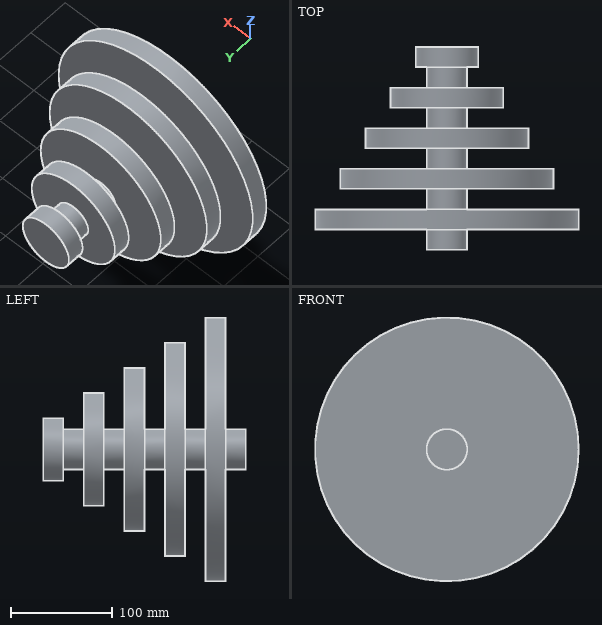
import cadquery as cq

shaft_diameter = 40.0
shaft_length = 200.0
disc_diameters = [260, 210.5, 161.0, 111.5, 62.0]

disc_thickness = shaft_length / (2 * len(disc_diameters))
disc_pitch = 2 * disc_thickness


def cylinder_along_y(diameter, start, length):
    """Solid cylinder running from y = start towards +Y."""
    plane = cq.Workplane("XZ", origin=(0, start, 0))
    return plane.circle(diameter / 2).extrude(-length)


result = cylinder_along_y(shaft_diameter, 0, shaft_length)

for index, diameter in enumerate(disc_diameters):
    disc_start = disc_thickness + index * disc_pitch
    result = result.union(cylinder_along_y(diameter, disc_start, disc_thickness))